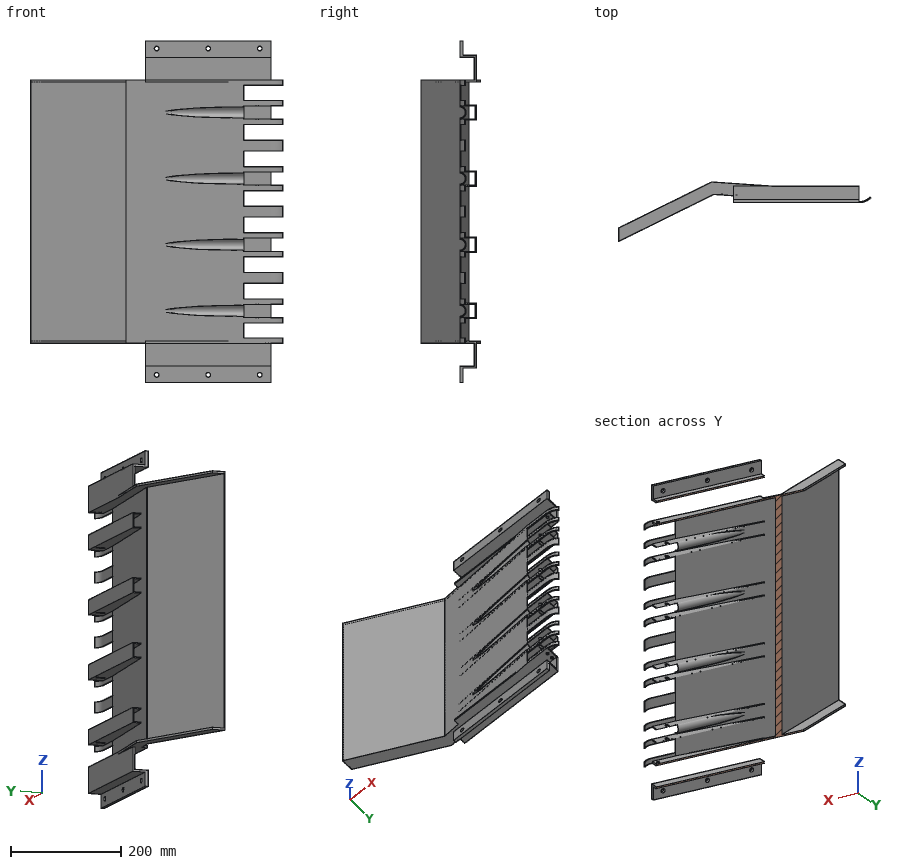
import cadquery as cq
import math


PANEL_HEIGHT = 478
PANEL_SHEET = 2
SIDE_WALL_SHEET = 4
PANEL_LENGTH = 387
BEND_X = 172.6
RIDGE_X = 169
FRONT_BEND_Y = -23
RAMP_END_Y = -108.32
RAMP_ANGLE = math.radians(26.3)

OVERALL_LENGTH = 457.67
BRACKET_START_X = 208
BRACKET_BACK_Y = -7.8
BRACKET_DEPTH = 30
BRACKET_SHEET = 4
FLANGE_SHEET = 6
FLANGE_HEIGHT = 30
OVERALL_HEIGHT = 620
MOUNT_HOLE_DIAMETER = 8
MOUNT_HOLE_SPACING = 93.5
MOUNT_HOLE_EDGE = 14

TINE_SHEET = 2
TINE_OUTER_RADIUS = 30
TINE_ANGLE = math.radians(45)
TINE_WIDTH = 10
WIDE_TINE_WIDTH = 20
CHANNEL_COUNT = 4
CHANNEL_PITCH = 120
CHANNEL_INNER_HALF = 12
PIN_HOLE_DIAMETER = 5
CHANNEL_SLOT_X = 411
BRACKET_PIN_X = 429
PIN_HOLE_YS = (-28, -16)

GROOVE_RADIUS = 10
GROOVE_SHEET = 1.5

BRACKET_END_X = OVERALL_LENGTH - TINE_OUTER_RADIUS * math.sin(TINE_ANGLE)
BRACKET_FRONT_Y = BRACKET_BACK_Y - BRACKET_DEPTH
HALF_PANEL = PANEL_HEIGHT / 2
HALF_OVERALL = OVERALL_HEIGHT / 2
CHANNEL_OUTER_HALF = CHANNEL_INNER_HALF + TINE_SHEET
PLATE_END_Y = BRACKET_FRONT_Y
PLATE_ANGLE = math.atan2(FRONT_BEND_Y - PLATE_END_Y, PANEL_LENGTH - BEND_X)
SIDE_PLATE_FRONT_Y = BRACKET_FRONT_Y + TINE_SHEET
RAMP_SHEET_Y = PANEL_SHEET / math.cos(RAMP_ANGLE)
PLATE_SHEET_Y = PANEL_SHEET / math.cos(PLATE_ANGLE)
BACK_BEND_X = BEND_X + (RIDGE_X - BEND_X) * PANEL_SHEET / -FRONT_BEND_Y
BACK_BEND_Y = FRONT_BEND_Y + PLATE_SHEET_Y
WALL_LEFT_Y = -RIDGE_X * math.tan(RAMP_ANGLE)
WALL_RIGHT_Y = -(PANEL_LENGTH - RIDGE_X) * math.tan(PLATE_ANGLE)


def spread(count):
    """Z positions of `count` items at the channel pitch, centred on mid-height."""
    return [(i - (count - 1) / 2) * CHANNEL_PITCH for i in range(count)]


def box(x0, x1, y0, y1, z0, z1):
    return cq.Workplane("XY").box(x1 - x0, y1 - y0, z1 - z0, centered=False).translate((x0, y0, z0))


def prism_z(points, z0, z1):
    return cq.Workplane("XY").workplane(offset=z0).polyline(points).close().extrude(z1 - z0)


def pin_holes_z(hole_x, z0, z1):
    """Cutters for a pair of round holes along Z."""
    places = [(hole_x, hole_y) for hole_y in PIN_HOLE_YS]
    plane = cq.Workplane("XY").workplane(offset=z0)
    return plane.pushPoints(places).circle(PIN_HOLE_DIAMETER / 2).extrude(z1 - z0)


def bent_panel():
    """Sheet with a ramp and a gently sloped plate, walled along both long edges."""
    front = [(0, RAMP_END_Y), (BEND_X, FRONT_BEND_Y), (PANEL_LENGTH, PLATE_END_Y)]
    back = [
        (PANEL_LENGTH, PLATE_END_Y + PLATE_SHEET_Y),
        (BACK_BEND_X, BACK_BEND_Y),
        (0, RAMP_END_Y + RAMP_SHEET_Y),
    ]
    wall_back = [(PANEL_LENGTH, WALL_RIGHT_Y), (RIDGE_X, 0), (0, WALL_LEFT_Y)]
    panel = prism_z(front + back, -HALF_PANEL, HALF_PANEL)
    for wall_z in (-HALF_PANEL, HALF_PANEL - SIDE_WALL_SHEET):
        panel = panel.union(prism_z(front + wall_back, wall_z, wall_z + SIDE_WALL_SHEET))
    return panel


def space_in_front_of_panel():
    """Solid filling the space on the -Y side of the panel."""
    far_y = 2 * RAMP_END_Y
    outline = [
        (0, far_y),
        (0, RAMP_END_Y),
        (BEND_X, FRONT_BEND_Y),
        (PANEL_LENGTH, PLATE_END_Y),
        (PANEL_LENGTH, far_y),
    ]
    return prism_z(outline, -HALF_OVERALL, HALF_OVERALL)


def upper_bracket():
    """Stepped bracket: side plate, upright, web and drilled flange."""
    flange_base_z = HALF_OVERALL - FLANGE_HEIGHT
    outline = [
        (SIDE_PLATE_FRONT_Y, HALF_PANEL),
        (SIDE_PLATE_FRONT_Y, HALF_PANEL - BRACKET_SHEET),
        (BRACKET_BACK_Y, HALF_PANEL - BRACKET_SHEET),
        (BRACKET_BACK_Y, flange_base_z + BRACKET_SHEET),
        (BRACKET_FRONT_Y + FLANGE_SHEET, flange_base_z + BRACKET_SHEET),
        (BRACKET_FRONT_Y + FLANGE_SHEET, HALF_OVERALL),
        (BRACKET_FRONT_Y, HALF_OVERALL),
        (BRACKET_FRONT_Y, flange_base_z),
        (BRACKET_BACK_Y - BRACKET_SHEET, flange_base_z),
        (BRACKET_BACK_Y - BRACKET_SHEET, HALF_PANEL),
    ]
    length = BRACKET_END_X - BRACKET_START_X
    start_plane = cq.Workplane("YZ").workplane(offset=BRACKET_START_X)
    bracket = start_plane.polyline(outline).close().extrude(length)
    middle_x = (BRACKET_START_X + BRACKET_END_X) / 2
    for i in (-1, 0, 1):
        hole = (
            cq.Workplane("XZ")
            .center(middle_x + i * MOUNT_HOLE_SPACING, HALF_OVERALL - MOUNT_HOLE_EDGE)
            .circle(MOUNT_HOLE_DIAMETER / 2)
            .extrude(BRACKET_DEPTH * 2)
        )
        bracket = bracket.cut(hole)
    return bracket.cut(pin_holes_z(BRACKET_PIN_X, HALF_PANEL - BRACKET_SHEET, HALF_PANEL))


def tine(z0, z1):
    """Flat strip ending in a curved tip that bends back towards +Y."""
    inner_radius = TINE_OUTER_RADIUS - TINE_SHEET
    centre_y = BRACKET_FRONT_Y + TINE_OUTER_RADIUS

    def on_arc(radius, angle):
        return (BRACKET_END_X + radius * math.sin(angle), centre_y - radius * math.cos(angle))

    return (
        cq.Workplane("XY")
        .workplane(offset=z0)
        .moveTo(BRACKET_START_X, BRACKET_FRONT_Y)
        .lineTo(*on_arc(TINE_OUTER_RADIUS, 0))
        .threePointArc(on_arc(TINE_OUTER_RADIUS, TINE_ANGLE / 2), on_arc(TINE_OUTER_RADIUS, TINE_ANGLE))
        .lineTo(*on_arc(inner_radius, TINE_ANGLE))
        .threePointArc(on_arc(inner_radius, TINE_ANGLE / 2), on_arc(inner_radius, 0))
        .lineTo(BRACKET_START_X, BRACKET_FRONT_Y + TINE_SHEET)
        .close()
        .extrude(z1 - z0)
    )


def channel(centre_z):
    """Hat channel with slotted walls whose lips run on as two tines."""
    outer_z = centre_z + CHANNEL_OUTER_HALF
    inner_z = centre_z + CHANNEL_INNER_HALF
    lower_outer_z = centre_z - CHANNEL_OUTER_HALF
    lower_inner_z = centre_z - CHANNEL_INNER_HALF
    web_front_y = BRACKET_BACK_Y - TINE_SHEET
    start_x = BRACKET_START_X
    end_x = BRACKET_END_X
    body = box(start_x, end_x, BRACKET_FRONT_Y, BRACKET_BACK_Y, lower_outer_z, outer_z)
    hollow = box(start_x, end_x, BRACKET_FRONT_Y, web_front_y, lower_inner_z, inner_z)
    slot_length = PIN_HOLE_YS[1] - PIN_HOLE_YS[0] + PIN_HOLE_DIAMETER
    pin_slot = (
        cq.Workplane("XY")
        .workplane(offset=lower_outer_z)
        .center(CHANNEL_SLOT_X, sum(PIN_HOLE_YS) / 2)
        .slot2D(slot_length, PIN_HOLE_DIAMETER, 90)
        .extrude(2 * CHANNEL_OUTER_HALF)
    )
    upper_tine = tine(inner_z, inner_z + TINE_WIDTH)
    lower_tine = tine(lower_inner_z - TINE_WIDTH, lower_inner_z)
    return body.cut(hollow).cut(pin_slot).union(upper_tine).union(lower_tine)


def groove_bar(centre_z, radius):
    """Round-backed bar along X, open towards the front of the panel."""
    length = PANEL_LENGTH - BEND_X
    front_y = RAMP_END_Y
    return (
        cq.Workplane("YZ")
        .workplane(offset=BEND_X)
        .moveTo(front_y, centre_z - radius)
        .lineTo(BRACKET_FRONT_Y, centre_z - radius)
        .threePointArc((BRACKET_FRONT_Y + radius, centre_z), (BRACKET_FRONT_Y, centre_z + radius))
        .lineTo(front_y, centre_z + radius)
        .close()
        .extrude(length)
    )


def tines_and_channels():
    """Everything behind the panel, trimmed flush with the panel front."""
    parts = tine(HALF_PANEL - TINE_WIDTH, HALF_PANEL)
    parts = parts.union(tine(-HALF_PANEL, -HALF_PANEL + TINE_WIDTH))
    for centre_z in spread(CHANNEL_COUNT - 1):
        parts = parts.union(tine(centre_z - WIDE_TINE_WIDTH / 2, centre_z + WIDE_TINE_WIDTH / 2))
    for centre_z in spread(CHANNEL_COUNT):
        parts = parts.union(channel(centre_z))
        parts = parts.union(groove_bar(centre_z, GROOVE_RADIUS + GROOVE_SHEET))
    return parts.cut(space_in_front_of_panel())


result = bent_panel().union(tines_and_channels())
for groove_z in spread(CHANNEL_COUNT):
    result = result.cut(groove_bar(groove_z, GROOVE_RADIUS))
bracket_top = upper_bracket()
result = result.union(bracket_top).union(bracket_top.mirror("XY"))